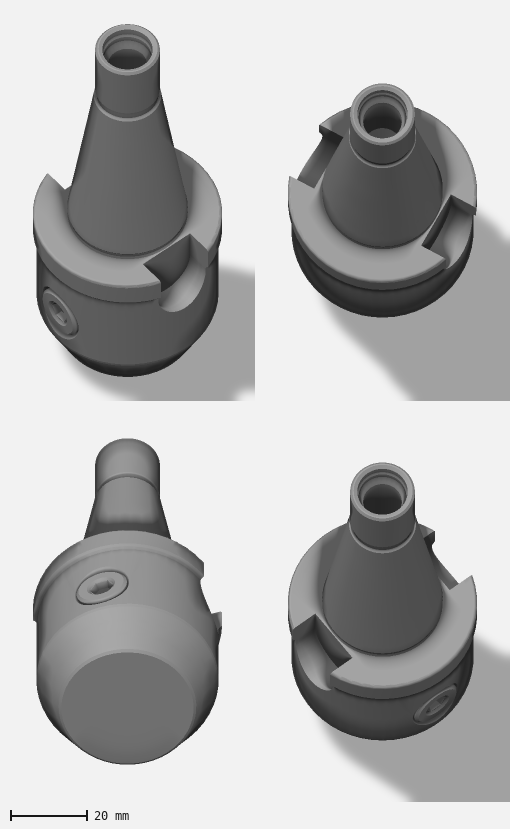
import cadquery as cq
import math

total_height = 118.4
nose_chamfer_top = 0.6
nose_edge_height = 1.3
nose_cone_top = 12.5
body_straight_start = 13.5
collar_bottom = 39.9
collar_edge_start = 41.3
collar_top = 48.3
taper_base = 50.4
taper_top = 98.4
pilot_bottom = 101.5

nose_face_radius = 17.4
nose_chamfer_radius = 18.1
nose_edge_radius = 18.5
nose_cone_top_radius = 23.74
body_radius = 23.98
collar_radius = 24.92
collar_round = 0.8
pilot_radius = 8.5
taper_base_radius = 15.9
taper_ratio = 7 / 24
taper_top_radius = taper_base_radius - (taper_top - taper_base) * taper_ratio / 2
relief_depth = 0.4
relief_slope = 0.6
rim_chamfer = 0.6

slot_width = 16.1
slot_bottom = 30.9
slot_floor_x = 16.1

mouth_radius = 7.6
mouth_depth = 0.5
counterbore_radius = 6.6
counterbore_depth = 2.5
step_radius = 6.3
step_start_depth = 3.2
step_end_depth = 4.7
drill_radius = 5.1
drill_start_depth = 6.7
drill_depth = 29.6
drill_tip_half_angle = math.radians(60)

screw_height = 24.0
screw_radius = 6.93
screw_chamfer = 0.7
screw_face_y = -23.8
countersink_radius = 8.6
hex_corner_radius = 3.61
hex_floor_corner_radius = 2.43
hex_depth = 2.4
hex_lead_radius = 3.85


def make_turned_blank():
    lower_edge_middle_z = (collar_bottom + collar_edge_start) / 2
    lower_edge_middle_r = collar_radius - 0.7 * (collar_radius - body_radius)
    relief_radius = taper_base_radius - relief_depth
    pilot_relief_radius = pilot_radius - relief_depth
    return (
        cq.Workplane("XZ")
        .lineTo(nose_face_radius, 0)
        .lineTo(nose_chamfer_radius, nose_chamfer_top)
        .lineTo(nose_edge_radius, nose_edge_height)
        .lineTo(nose_cone_top_radius, nose_cone_top)
        .lineTo(body_radius, body_straight_start)
        .lineTo(body_radius, collar_bottom)
        .lineTo(lower_edge_middle_r, lower_edge_middle_z)
        .lineTo(collar_radius, collar_edge_start)
        .lineTo(collar_radius, collar_top - collar_round)
        .radiusArc((collar_radius - collar_round, collar_top), -collar_round)
        .lineTo(taper_base_radius, collar_top)
        .lineTo(relief_radius, collar_top + relief_slope)
        .lineTo(relief_radius, taper_base - relief_slope)
        .lineTo(taper_base_radius, taper_base)
        .lineTo(taper_top_radius, taper_top)
        .lineTo(pilot_relief_radius, taper_top + relief_slope)
        .lineTo(pilot_relief_radius, pilot_bottom - relief_depth)
        .lineTo(pilot_radius, pilot_bottom)
        .lineTo(pilot_radius, total_height - rim_chamfer)
        .lineTo(pilot_radius - rim_chamfer, total_height)
        .lineTo(0, total_height)
        .close()
        .revolve(360, (0, 0), (0, 1))
    )


def make_pilot_hole():
    tip_depth = drill_depth + drill_radius / math.tan(drill_tip_half_angle)
    steps = [
        (0, 0),
        (mouth_radius, 0),
        (counterbore_radius, mouth_depth),
        (counterbore_radius, counterbore_depth),
        (step_radius, step_start_depth),
        (step_radius, step_end_depth),
        (drill_radius, drill_start_depth),
        (drill_radius, drill_depth),
        (0, tip_depth),
    ]
    outline = [(radius, total_height - depth) for radius, depth in steps]
    return cq.Workplane("XZ").polyline(outline).close().revolve(360, (0, 0), (0, 1))


def make_drive_slot(side):
    slot_radius = slot_width / 2
    arc_center_z = slot_bottom + slot_radius
    return (
        cq.Workplane("YZ", origin=(side * slot_floor_x, 0, 0))
        .moveTo(-slot_radius, collar_top)
        .lineTo(-slot_radius, arc_center_z)
        .threePointArc((0, slot_bottom), (slot_radius, arc_center_z))
        .lineTo(slot_radius, collar_top)
        .close()
        .extrude(side * collar_radius)
    )


def make_countersink():
    """45 degree recess around the screw, widened past the body surface."""
    overrun = 1.2
    seat_y = -body_radius + countersink_radius - screw_radius
    return (
        cq.Workplane("XY")
        .moveTo(0, -body_radius - overrun)
        .lineTo(countersink_radius + overrun, -body_radius - overrun)
        .lineTo(screw_radius, seat_y)
        .lineTo(0, seat_y)
        .close()
        .revolve(360, (0, 0), (0, 1))
        .translate((0, 0, screw_height))
    )


def make_screw():
    screw_length = 5.9
    return (
        cq.Workplane("XZ", origin=(0, screw_face_y, screw_height))
        .circle(screw_radius)
        .extrude(-screw_length)
        .faces("<Y")
        .chamfer(screw_chamfer)
    )


def make_hex_socket():
    """Hexagonal socket narrowing towards its floor, with a conical lead-in."""
    screw_face = cq.Workplane("XZ", origin=(0, screw_face_y, screw_height))
    flat_per_corner = math.cos(math.pi / 6)
    flat_inset = (hex_corner_radius - hex_floor_corner_radius) * flat_per_corner
    wall_taper = math.degrees(math.atan(flat_inset / hex_depth))
    socket = screw_face.polygon(6, 2 * hex_corner_radius).extrude(-hex_depth, taper=wall_taper)
    lead_depth = hex_lead_radius - hex_corner_radius * flat_per_corner
    lead_in = screw_face.circle(hex_lead_radius).extrude(-lead_depth, taper=45)
    return socket.union(lead_in)


result = make_turned_blank().cut(make_pilot_hole())
for side in (-1, 1):
    result = result.cut(make_drive_slot(side))
result = result.cut(make_countersink()).union(make_screw()).cut(make_hex_socket())